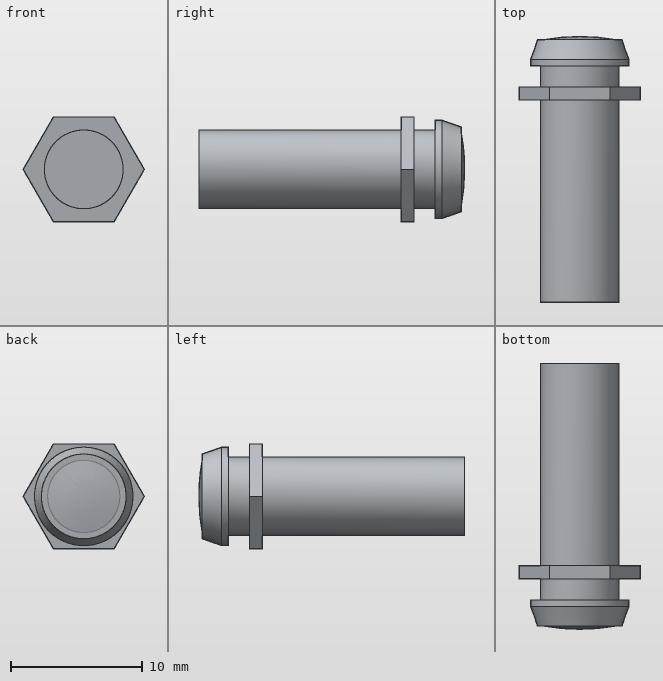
import cadquery as cq
import math

shaft_diameter = 6.0
shaft_length = 18.0
flange_diameter = 7.5
flange_thickness = 0.5
head_taper_length = 1.5
head_tip_diameter = 6.45
dome_diameter = 5.5
dome_height = 0.25
nut_across_flats = 8.0
nut_thickness = 1.0
nut_gap = 1.6

shaft_end = -shaft_length
taper_start = flange_thickness
taper_end = taper_start + head_taper_length
dome_top = taper_end + dome_height

shaft_radius = shaft_diameter / 2
flange_radius = flange_diameter / 2
head_tip_radius = head_tip_diameter / 2
dome_radius = dome_diameter / 2
nut_across_corners = nut_across_flats / math.cos(math.pi / 6)


def dome_point_at_half_radius():
    """(Y, radius) of the point on the dome's circular arc halfway out from the axis."""
    sphere_radius = (dome_radius**2 + dome_height**2) / (2 * dome_height)
    radius = dome_radius / 2
    drop = sphere_radius - math.sqrt(sphere_radius**2 - radius**2)
    return (dome_top - drop, radius)


def make_body():
    """Shaft, flange, tapered head and shallow dome, revolved about the Y axis."""
    return (
        cq.Workplane("YZ")
        .moveTo(shaft_end, 0)
        .lineTo(shaft_end, shaft_radius)
        .lineTo(0, shaft_radius)
        .lineTo(0, flange_radius)
        .lineTo(taper_start, flange_radius)
        .lineTo(taper_end, head_tip_radius)
        .lineTo(taper_end, dome_radius)
        .threePointArc(dome_point_at_half_radius(), (dome_top, 0))
        .close()
        .revolve(360, (0, 0, 0), (1, 0, 0))
    )


def make_nut():
    """Hexagonal nut around the shaft, with two corners on the X axis."""
    return (
        cq.Workplane("XZ", origin=(0, -nut_gap, 0))
        .polygon(6, nut_across_corners)
        .extrude(nut_thickness)
    )


result = make_body().union(make_nut())